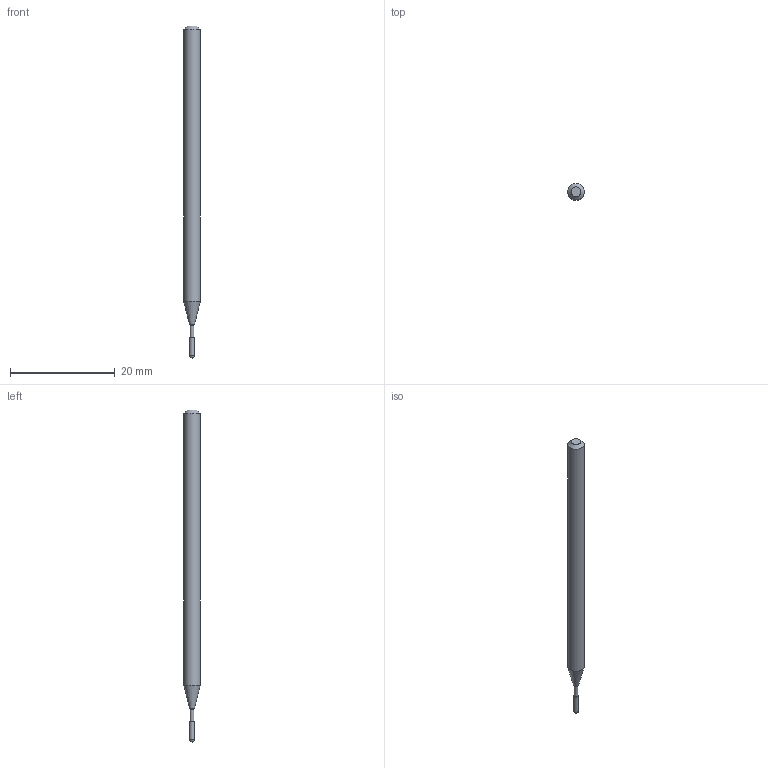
import cadquery as cq
import math

overall_length = 63.5
shank_diameter = 3.175
shank_start = 10.85
top_chamfer_width = 0.65
top_chamfer_height = 0.65
taper_end_diameter = 1.0
taper_start = 6.5
neck_bevel_height = 0.2
neck_diameter = 0.7
cutter_diameter = 0.9
cutter_length = 4.0

shank_radius = shank_diameter / 2
taper_end_radius = taper_end_diameter / 2
neck_radius = neck_diameter / 2
cutter_radius = cutter_diameter / 2


def make_shank():
    """Neck, bevelled shoulder, taper and chamfered shank turned as one body."""
    profile = (
        cq.Workplane("XZ")
        .moveTo(0, cutter_length)
        .lineTo(neck_radius, cutter_length)
        .lineTo(neck_radius, taper_start - neck_bevel_height)
        .lineTo(taper_end_radius, taper_start)
        .lineTo(shank_radius, shank_start)
        .lineTo(shank_radius, overall_length - top_chamfer_height)
        .lineTo(shank_radius - top_chamfer_width, overall_length)
        .lineTo(0, overall_length)
        .close()
    )
    return profile.revolve(360, (0, 0), (0, 1))


def make_cutter():
    """Cutting head with a hemispherical tip, meeting the neck at its flat top."""
    arc_reach = cutter_radius * math.cos(math.radians(45))
    profile = (
        cq.Workplane("XZ")
        .moveTo(0, 0)
        .threePointArc((arc_reach, cutter_radius - arc_reach), (cutter_radius, cutter_radius))
        .lineTo(cutter_radius, cutter_length)
        .lineTo(0, cutter_length)
        .close()
    )
    return profile.revolve(360, (0, 0), (0, 1))


shank = make_shank()
cutter = make_cutter()

result = cq.Compound.makeCompound([shank.val(), cutter.val()])